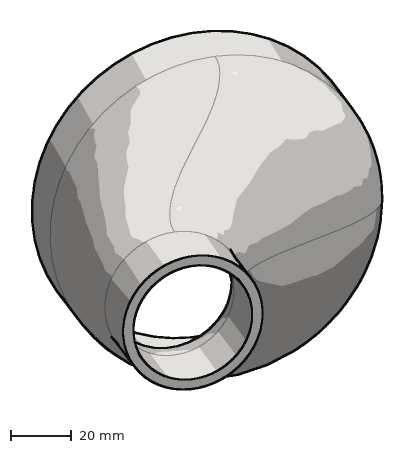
import cadquery as cq

LENGTH = 100.0
LARGE_DIAMETER = 114.3
SMALL_DIAMETER = 48.3
LARGE_BORE = 107.1
WALL = (LARGE_DIAMETER - LARGE_BORE) / 2
SMALL_BORE = SMALL_DIAMETER - 2 * WALL

COLLAR_LENGTH = 20.0
TRANSITION_LENGTH = LENGTH - 2 * COLLAR_LENGTH
SMALL_END_Y = -(LARGE_DIAMETER - SMALL_DIAMETER) / 2

CREST_HANDLE = 29.4
SIDE_HANDLE = 24.6
SECTION_STEPS = 12
BISECTION_STEPS = 40


def s_curve_drop(distance, handle):
    """Fraction of the full drop reached at a distance along the transition.

    The curve is a cubic Bezier with an axial handle of the given length at both ends.
    """
    low = 0.0
    high = 1.0
    for _ in range(BISECTION_STEPS):
        t = (low + high) / 2
        near_term = 3 * handle * t * (1 - t) ** 2
        far_term = 3 * (TRANSITION_LENGTH - handle) * t**2 * (1 - t)
        end_term = TRANSITION_LENGTH * t**3
        if near_term + far_term + end_term < distance:
            low = t
        else:
            high = t
    t = (low + high) / 2
    return t**2 * (3 - 2 * t)


def collar(start_x, center_y, diameter):
    """Solid cylinder along X for one straight end."""
    return (
        cq.Workplane("YZ", origin=(start_x, center_y, 0))
        .circle(diameter / 2)
        .extrude(COLLAR_LENGTH)
    )


def transition(large_diameter, small_diameter):
    """Loft through elliptical sections that all touch the same line on the -Y side."""
    drop = large_diameter - small_diameter
    sections = cq.Workplane("YZ")
    previous_x = 0.0
    previous_y = 0.0
    for step in range(SECTION_STEPS + 1):
        distance = TRANSITION_LENGTH * step / SECTION_STEPS
        height_y = large_diameter - drop * s_curve_drop(distance, CREST_HANDLE)
        width_z = large_diameter - drop * s_curve_drop(distance, SIDE_HANDLE)
        x = COLLAR_LENGTH + distance
        y = (height_y - large_diameter) / 2
        sections = (
            sections.workplane(offset=x - previous_x)
            .center(y - previous_y, 0)
            .ellipse(height_y / 2, width_z / 2)
        )
        previous_x = x
        previous_y = y
    return sections.loft()


def reducer_body(large_diameter, small_diameter):
    """Solid reducer: large collar, transition and small collar."""
    large_collar = collar(0, 0, large_diameter)
    small_collar = collar(LENGTH - COLLAR_LENGTH, SMALL_END_Y, small_diameter)
    return large_collar.union(transition(large_diameter, small_diameter)).union(small_collar)


outside = reducer_body(LARGE_DIAMETER, SMALL_DIAMETER)
bore = reducer_body(LARGE_BORE, SMALL_BORE)
result = outside.cut(bore)